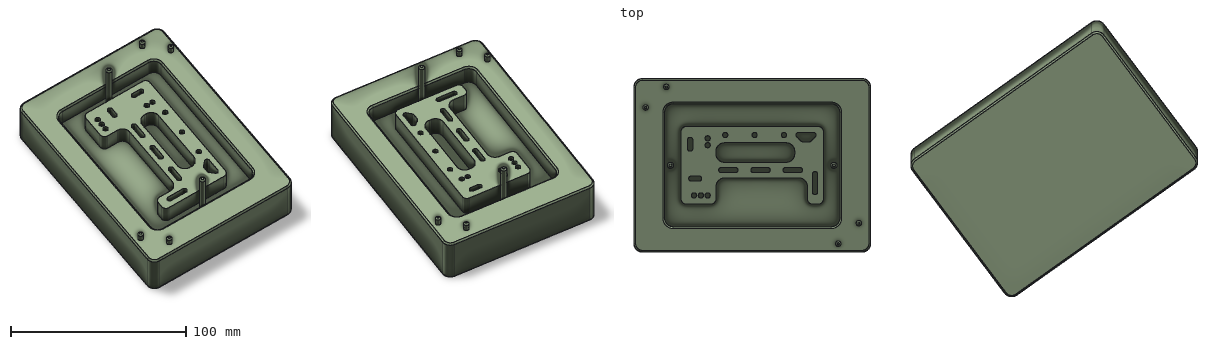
import cadquery as cq

LENGTH = 135.0
WIDTH = 99.0
BASE_HEIGHT = 28.0
BASE_CORNER_RADIUS = 5.0
EDGE_CHAMFER = 1.0

POCKET_LENGTH = 99.9
POCKET_WIDTH = 70.0
POCKET_DEPTH = 12.0
POCKET_CORNER_RADIUS = 5.0
POCKET_FLOOR_Z = BASE_HEIGHT - POCKET_DEPTH

BLOCK_LENGTH = 81.1
BLOCK_WIDTH = 44.3
BLOCK_HEIGHT = POCKET_DEPTH
BLOCK_CORNER_RADIUS = 3.0

NOTCH_LEFT_X = -20.7
NOTCH_RIGHT_X = 31.5
NOTCH_END_Y = -7.2
NOTCH_CORNER_RADIUS = 5.0

WINDOW_LENGTH = 45.0
WINDOW_WIDTH = 11.2
WINDOW_CENTER = (1.8, 7.3)
WINDOW_CORNER_RADIUS = 5.0

HOLE_DIAMETER = 3.0
ROW_START_X = -15.4
ROW_Y = 17.3
ROW_PITCH = 16.7
CLOSE_PITCH = 3.9
PAIR_X = -25.4
PAIR_START_Y = 11.5
TRIPLE_START_X = PAIR_X - 2 * CLOSE_PITCH
TRIPLE_Y = -17.1

SLOT_WIDTH = HOLE_DIAMETER
MIDDLE_SLOT_LENGTH = 11.1
MIDDLE_SLOT_PITCH = 18.4
MIDDLE_SLOT_START_X = -13.6
MIDDLE_SLOT_Y = -2.7
UPPER_LEFT_SLOT_LENGTH = 8.0
UPPER_LEFT_SLOT_CENTER = (-35.4, 12.0)
LOWER_LEFT_SLOT_LENGTH = 7.4
LOWER_LEFT_SLOT_CENTER = (-32.5, -7.5)
RIGHT_SLOT_LENGTH = 13.2
RIGHT_SLOT_CENTER = (35.8, -10.1)

TRAPEZOID_CENTER_X = 30.6
TRAPEZOID_WIDE_Y = 18.8
TRAPEZOID_DEPTH = 5.4
TRAPEZOID_NARROW_WIDTH = 4.9
TRAPEZOID_CORNER_RADIUS = 1.5

PIN_SEAT_DEPTH = 5.0
PIN_TIP_CHAMFER = 1.0
LONG_PIN_DIAMETER = 3.5
LONG_PIN_TOP_Z = 48.0
LONG_PIN_X = 46.6
SHORT_PIN_DIAMETER = 3.1
SHORT_PIN_TOP_Z = 33.0
SHORT_PIN_OUTER_X = 60.8
SHORT_PIN_OUTER_Y = 44.7
SHORT_PIN_STEP = 11.7

LONG_PIN_POINTS = [(-LONG_PIN_X, 0), (LONG_PIN_X, 0)]
SHORT_PIN_PAIR = [
    (-SHORT_PIN_OUTER_X, SHORT_PIN_OUTER_Y - SHORT_PIN_STEP),
    (-SHORT_PIN_OUTER_X + SHORT_PIN_STEP, SHORT_PIN_OUTER_Y),
]
SHORT_PIN_POINTS = SHORT_PIN_PAIR + [(-x, -y) for x, y in SHORT_PIN_PAIR]


def pocket_floor():
    """Workplane on the pocket floor, where the block and its openings start."""
    return cq.Workplane("XY").workplane(offset=POCKET_FLOOR_Z)


def make_tray():
    """Rounded plate with a rounded pocket, chamfered along all its top and bottom edges."""
    plate = cq.Workplane("XY").rect(LENGTH, WIDTH).extrude(BASE_HEIGHT)
    plate = plate.edges("|Z").fillet(BASE_CORNER_RADIUS)
    pocket = pocket_floor().rect(POCKET_LENGTH, POCKET_WIDTH).extrude(POCKET_DEPTH)
    pocket = pocket.edges("|Z").fillet(POCKET_CORNER_RADIUS)
    return plate.cut(pocket).faces(">Z or <Z").chamfer(EDGE_CHAMFER)


def make_notch():
    """Notch volume, open towards -Y and rounded at its two closed corners."""
    open_y = -BLOCK_WIDTH / 2
    notch = (
        pocket_floor()
        .moveTo(NOTCH_LEFT_X, open_y)
        .lineTo(NOTCH_LEFT_X, NOTCH_END_Y)
        .lineTo(NOTCH_RIGHT_X, NOTCH_END_Y)
        .lineTo(NOTCH_RIGHT_X, open_y)
        .close()
        .extrude(BLOCK_HEIGHT)
    )
    return notch.edges("|Z and >Y").fillet(NOTCH_CORNER_RADIUS)


def make_window():
    window = pocket_floor().center(*WINDOW_CENTER).rect(WINDOW_LENGTH, WINDOW_WIDTH).extrude(BLOCK_HEIGHT)
    return window.edges("|Z").fillet(WINDOW_CORNER_RADIUS)


def make_holes():
    row = [(ROW_START_X + i * ROW_PITCH, ROW_Y) for i in range(3)]
    pair = [(PAIR_X, PAIR_START_Y + i * CLOSE_PITCH) for i in range(2)]
    triple = [(TRIPLE_START_X + i * CLOSE_PITCH, TRIPLE_Y) for i in range(3)]
    return pocket_floor().pushPoints(row + pair + triple).circle(HOLE_DIAMETER / 2).extrude(BLOCK_HEIGHT)


def make_slots(centers, length, angle):
    return pocket_floor().pushPoints(centers).slot2D(length, SLOT_WIDTH, angle).extrude(BLOCK_HEIGHT)


def make_trapezoid():
    narrow_y = TRAPEZOID_WIDE_Y - TRAPEZOID_DEPTH
    narrow_half = TRAPEZOID_NARROW_WIDTH / 2
    wide_half = narrow_half + TRAPEZOID_DEPTH
    trapezoid = (
        pocket_floor()
        .moveTo(TRAPEZOID_CENTER_X - wide_half, TRAPEZOID_WIDE_Y)
        .lineTo(TRAPEZOID_CENTER_X + wide_half, TRAPEZOID_WIDE_Y)
        .lineTo(TRAPEZOID_CENTER_X + narrow_half, narrow_y)
        .lineTo(TRAPEZOID_CENTER_X - narrow_half, narrow_y)
        .close()
        .extrude(BLOCK_HEIGHT)
    )
    return trapezoid.edges("|Z").fillet(TRAPEZOID_CORNER_RADIUS)


def make_block():
    """Notched block whose openings all go down to the pocket floor."""
    block = pocket_floor().rect(BLOCK_LENGTH, BLOCK_WIDTH).extrude(BLOCK_HEIGHT).cut(make_notch())
    block = block.edges("|Z and <Y").fillet(BLOCK_CORNER_RADIUS)
    block = block.edges("|Z and >Y").fillet(BLOCK_CORNER_RADIUS)

    middle_centers = [(MIDDLE_SLOT_START_X + i * MIDDLE_SLOT_PITCH, MIDDLE_SLOT_Y) for i in range(3)]
    openings = [
        make_window(),
        make_holes(),
        make_slots(middle_centers, MIDDLE_SLOT_LENGTH, 0),
        make_slots([UPPER_LEFT_SLOT_CENTER], UPPER_LEFT_SLOT_LENGTH, 90),
        make_slots([LOWER_LEFT_SLOT_CENTER], LOWER_LEFT_SLOT_LENGTH, 0),
        make_slots([RIGHT_SLOT_CENTER], RIGHT_SLOT_LENGTH, 90),
        make_trapezoid(),
    ]
    for opening in openings:
        block = block.cut(opening)
    return block


def make_pins(points, diameter, surface_z, top_z):
    """Pins with chamfered tips, seated below the surface that they stand on; one solid per point."""
    seat_z = surface_z - PIN_SEAT_DEPTH
    pins = []
    for x, y in points:
        pin = cq.Workplane("XY", origin=(x, y, seat_z)).circle(diameter / 2).extrude(top_z - seat_z)
        pins.append(pin.faces(">Z").chamfer(PIN_TIP_CHAMFER).val())
    return pins


long_pins = make_pins(LONG_PIN_POINTS, LONG_PIN_DIAMETER, POCKET_FLOOR_Z, LONG_PIN_TOP_Z)
short_pins = make_pins(SHORT_PIN_POINTS, SHORT_PIN_DIAMETER, BASE_HEIGHT, SHORT_PIN_TOP_Z)

base = make_tray().union(make_block())
for seated_pin in long_pins + short_pins:
    base = base.cut(cq.Workplane(seated_pin))

result = cq.Compound.makeCompound([base.val(), *long_pins, *short_pins])